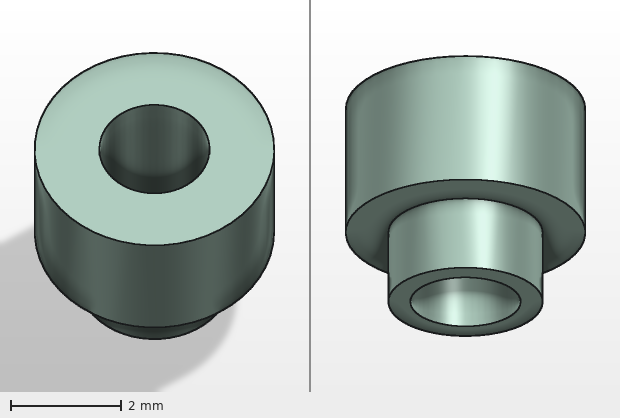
import cadquery as cq

body_diameter = 4.35
spigot_diameter = 2.8
bore_diameter = 2.0
total_height = 3.9
spigot_height = 1.4
body_height = total_height - spigot_height

spigot = cq.Workplane("XY").circle(spigot_diameter / 2).extrude(spigot_height)
stepped_bushing = (
    spigot.faces(">Z").workplane().circle(body_diameter / 2).extrude(body_height)
)

result = stepped_bushing.faces(">Z").workplane().hole(bore_diameter)